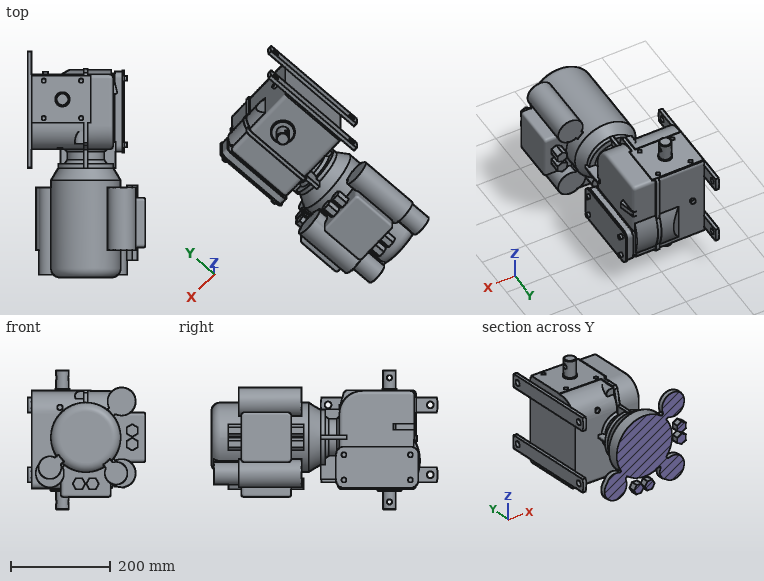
import cadquery as cq
import math


ROOT_DEPTH = 15

SHAFT_DIAMETER = 26
SHAFT_LENGTH = 280
SHAFT_CHAMFER = 1.5
CROSS_HOLE_DIAMETER = 10
CROSS_HOLE_HEIGHT = 124.5
COLLAR_DIAMETER = 29
COLLAR_TOP = 102

HOUSING_LEFT = -62
HOUSING_RIGHT = 101.5
HOUSING_BACK = 50
HOUSING_FRONT = -100.3
HOUSING_TOP = 98
HOUSING_BOTTOM = -98
FRONT_CURVE_RADIUS = 45.5
HOUSING_EDGE_RADIUS = 8
HOUSING_FRONT_FOOT_RADIUS = 11
HOUSING_END_RADIUS = 7

PAD_HALF_WIDTH = 47
PAD_RIGHT = 56.5
PAD_TOP = 99.5
PAD_HOLE_SPACING = 75
PAD_HOLE_DIAMETER = 9
PAD_HOLE_DEPTH = 15
PAD_HOLE_TIP_DEPTH = 3

BOSS_DIAMETER = 49
BOSS_BOTTOM = -103
BOSS_CHAMFER = 2

RIB_LEFT = 42.5
RIB_RIGHT = 50.5
RIB_OVERHANG = 3.5
RIB_BOTTOM = -99.5
RIB_EDGE_RADIUS = 9
RIB_CORNER_FRONT = -92
RIB_CORNER_DROP = 5
RIB_FOOT_HEIGHT = 50
LUG_WIDTH = 18
LUG_CENTER_X = 34
LUG_CENTER_Z = 88
LUG_FRONT = -89.5
LUG_LENGTH = 30

BULGE_TIP_X = -3
BULGE_LEFT = 14
BULGE_RIGHT = 98
BULGE_BACK = 59.5
BULGE_CENTER_Z = -42
BULGE_HALF_HEIGHT = 42
RIB_ARCH_BACK = 61.5

WEDGE_BACK = 50
WEDGE_FRONT = 8
WEDGE_TIP_X = 110
WEDGE_TIP_Y = 13
WEDGE_BOTTOM = 20
WEDGE_TOP = 32

PLUG_DIAMETER = 11
FRONT_PLUG_X = -5
FRONT_PLUG_Z = 65
BACK_PLUG_X = -34
BACK_PLUG_Z = 3
BACK_PLUG_FACE = 55.5

COVER_BACK = 56
COVER_FRONT = -105.3
COVER_TOP = -16
COVER_BOTTOM = -94.5
COVER_CORNER_RADIUS = 13
COVER_SEAT_RIGHT = 105
COVER_SEAT_INSET = 4
COVER_RIGHT = 119.5
COVER_PLATE_THICKNESS = 4
COVER_PLATE_OVERHANG = 2
COVER_SCREW_DIAMETER = 10
COVER_SCREW_HEIGHT = 6.2
COVER_SCREW_INSET = 14

MOTOR_X = 46.8
MOTOR_Z = 5
MOTOR_RADIUS = 70
MOTOR_END = -357.45
MOTOR_END_RADIUS = 18
FLANGE_RADIUS = 55.5
FLANGE_BACK = -129
FLANGE_FRONT = -138
CONE_FRONT = -162
NECK_RADIUS = 37.5
NECK_FLARE = 5
NECK_FLARE_LENGTH = 7.5

WEB_THICKNESS = 8
WEB_REACH_LEFT = 51
WEB_REACH_RIGHT = 60
WEB_REACH_TOP = 56
WEB_REACH_BOTTOM = 84
WEB_EDGE_RADIUS = 2.5

CAPACITOR_OFFSET = 72
CAPACITOR_RADIUS = 28.3
CAPACITOR_BACK = -176.3
CAPACITOR_FRONT = -302.5
SLIM_CAPACITOR_RADIUS = 22.7
SLIM_CAPACITOR_OFFSET = 60.8
SLIM_CAPACITOR_FRONT = -352
SADDLE_WIDTH = 18

BOX_SIZE = 100.5
BOX_REACH = 119.7
BOX_INNER = 45
BOX_BACK = -197
BOX_EDGE_RADIUS = 7
BOX_RIM_RADIUS = 5
GLAND_ACROSS_FLATS = 22
GLAND_SPACING = 27.2
GLAND_REACH = 93.2
GLAND_BACK = -172
GLAND_LENGTH = 151

BAR_THICKNESS = 8
BAR_HEIGHT = 30.5
BAR_LENGTH = 235
BAR_BACK = 96.85
BAR_END_BULGE = 1.8
BAR_HOLE_INSET = 15
BAR_HOLE_DIAMETER = 13
BAR_CENTER_Z = 70


def cylinder_x(radius, left, right, y, z):
    """Cylinder along X between two faces."""
    return cq.Workplane("YZ", origin=(left, y, z)).circle(radius).extrude(right - left)


def cylinder_y(radius, front, back, x, z):
    """Cylinder along Y between two faces."""
    return cq.Workplane("XZ", origin=(x, back, z)).circle(radius).extrude(back - front)


def cylinder_z(diameter, bottom, top):
    """Cylinder on the output shaft axis between two heights."""
    return cq.Workplane("XY", origin=(0, 0, bottom)).circle(diameter / 2).extrude(top - bottom)


def block(left, right, front, back, bottom, top):
    """Box between the given faces."""
    return cq.Workplane("XY").box(right - left, back - front, top - bottom, centered=False).translate(
        (left, front, bottom)
    )


def housing_block():
    """Plain housing, rounded along its upper front edge."""
    curve = FRONT_CURVE_RADIUS
    diagonal = curve * (1 - math.sqrt(0.5))
    return (
        cq.Workplane("YZ", origin=(HOUSING_LEFT, 0, 0))
        .moveTo(HOUSING_BACK, HOUSING_BOTTOM)
        .lineTo(HOUSING_BACK, HOUSING_TOP)
        .lineTo(HOUSING_FRONT + curve, HOUSING_TOP)
        .threePointArc(
            (HOUSING_FRONT + diagonal, HOUSING_TOP - diagonal), (HOUSING_FRONT, HOUSING_TOP - curve)
        )
        .lineTo(HOUSING_FRONT, HOUSING_BOTTOM)
        .close()
        .extrude(HOUSING_RIGHT - HOUSING_LEFT)
        .edges("|X and >Y")
        .fillet(HOUSING_EDGE_RADIUS)
        .edges("|X and <Y and <Z")
        .fillet(HOUSING_FRONT_FOOT_RADIUS)
        .faces(">X")
        .edges()
        .fillet(HOUSING_END_RADIUS)
    )


def make_housing():
    """Gear housing with its pad, lower boss and screw plugs."""
    body = housing_block()
    pad = block(
        HOUSING_LEFT, PAD_RIGHT, -PAD_HALF_WIDTH, PAD_HALF_WIDTH, HOUSING_TOP - ROOT_DEPTH, PAD_TOP
    )
    boss = cylinder_z(BOSS_DIAMETER, BOSS_BOTTOM, HOUSING_BOTTOM + ROOT_DEPTH)
    boss = boss.faces("<Z").chamfer(BOSS_CHAMFER)
    front_plug = cylinder_y(
        PLUG_DIAMETER / 2, HOUSING_FRONT, HOUSING_FRONT + ROOT_DEPTH, FRONT_PLUG_X, FRONT_PLUG_Z
    )
    back_plug = cylinder_y(
        PLUG_DIAMETER / 2, BACK_PLUG_FACE - ROOT_DEPTH, BACK_PLUG_FACE, BACK_PLUG_X, BACK_PLUG_Z
    )
    return body.union(pad).union(boss).union(front_plug).union(back_plug)


def make_parting_rib():
    """Rib around the housing joint, with a bolt lug at its upper front corner."""
    front = HOUSING_FRONT - RIB_OVERHANG
    rib = (
        cq.Workplane("YZ", origin=(RIB_LEFT, 0, 0))
        .moveTo(HOUSING_BACK + RIB_OVERHANG, RIB_BOTTOM)
        .lineTo(HOUSING_BACK + RIB_OVERHANG, PAD_TOP)
        .lineTo(RIB_CORNER_FRONT + RIB_CORNER_DROP, PAD_TOP)
        .lineTo(RIB_CORNER_FRONT, PAD_TOP - RIB_CORNER_DROP)
        .lineTo(front, RIB_FOOT_HEIGHT)
        .lineTo(front, RIB_BOTTOM)
        .close()
        .extrude(RIB_RIGHT - RIB_LEFT)
        .edges("(|X and <Z) or (|X and >Y and >Z)")
        .fillet(RIB_EDGE_RADIUS)
    )
    half = LUG_WIDTH / 2
    back = LUG_FRONT + LUG_LENGTH
    lug = cylinder_y(half, LUG_FRONT, back, LUG_CENTER_X, LUG_CENTER_Z)
    lug_root = block(LUG_CENTER_X, RIB_LEFT, LUG_FRONT, back, LUG_CENTER_Z - half, LUG_CENTER_Z + half)
    return rib.union(lug).union(lug_root)


def back_arch(left, right, peak):
    """Arched slab on the housing back, rising to the given Y."""
    return (
        cq.Workplane("YZ", origin=(left, 0, BULGE_CENTER_Z))
        .moveTo(0, -BULGE_HALF_HEIGHT)
        .lineTo(HOUSING_BACK, -BULGE_HALF_HEIGHT)
        .threePointArc((peak, 0), (HOUSING_BACK, BULGE_HALF_HEIGHT))
        .lineTo(0, BULGE_HALF_HEIGHT)
        .close()
        .extrude(right - left)
    )


def make_bulge():
    """Bulge with a sloped left end, and the arch of the parting rib across it."""
    slope = (
        cq.Workplane("XY", origin=(0, 0, BULGE_CENTER_Z - BULGE_HALF_HEIGHT))
        .polyline([(BULGE_TIP_X, HOUSING_BACK), (BULGE_LEFT, BULGE_BACK), (BULGE_TIP_X, BULGE_BACK)])
        .close()
        .extrude(2 * BULGE_HALF_HEIGHT)
    )
    bulge = back_arch(BULGE_TIP_X, BULGE_RIGHT, BULGE_BACK).cut(slope)
    return bulge.union(back_arch(RIB_LEFT, RIB_RIGHT, RIB_ARCH_BACK))


def make_wedge():
    """Wedge on the right end of the housing, thickening toward the front."""
    root = HOUSING_RIGHT - HOUSING_END_RADIUS
    return (
        cq.Workplane("XY", origin=(0, 0, WEDGE_BOTTOM))
        .polyline(
            [
                (root, WEDGE_BACK),
                (HOUSING_RIGHT, WEDGE_BACK),
                (WEDGE_TIP_X, WEDGE_TIP_Y),
                (HOUSING_RIGHT, WEDGE_FRONT),
                (root, WEDGE_FRONT),
            ]
        )
        .close()
        .extrude(WEDGE_TOP - WEDGE_BOTTOM)
    )


def cover_slice(left, right, growth=0):
    """Round-cornered slice of the end cover, grown all round."""
    slab = block(
        left,
        right,
        COVER_FRONT - growth,
        COVER_BACK + growth,
        COVER_BOTTOM - growth,
        COVER_TOP + growth,
    )
    return slab.edges("|X").fillet(COVER_CORNER_RADIUS + growth)


def make_cover():
    """End cover on its seat, with a rim plate and four screw heads."""
    plate_right = COVER_RIGHT + COVER_PLATE_THICKNESS
    cover = cover_slice(HOUSING_RIGHT - HOUSING_END_RADIUS, COVER_SEAT_RIGHT, -COVER_SEAT_INSET)
    cover = cover.union(cover_slice(COVER_SEAT_RIGHT, COVER_RIGHT))
    cover = cover.union(cover_slice(COVER_RIGHT, plate_right, COVER_PLATE_OVERHANG))
    screw_radius = COVER_SCREW_DIAMETER / 2
    for y in (COVER_FRONT + COVER_SCREW_INSET, COVER_BACK - COVER_SCREW_INSET):
        for z in (COVER_BOTTOM + COVER_SCREW_INSET, COVER_TOP - COVER_SCREW_INSET):
            cover = cover.union(
                cylinder_x(screw_radius, COVER_RIGHT, plate_right + COVER_SCREW_HEIGHT, y, z)
            )
    return cover


def make_motor():
    """Motor body, cone, flange and flared neck as one turned shape."""
    neck_back = HOUSING_FRONT
    neck_root = HOUSING_FRONT + ROOT_DEPTH
    end_center = (MOTOR_RADIUS - MOTOR_END_RADIUS, MOTOR_END + MOTOR_END_RADIUS)
    bend = MOTOR_END_RADIUS * math.sqrt(0.5)
    flare = NECK_RADIUS + NECK_FLARE
    profile = (
        cq.Workplane("XY")
        .moveTo(0, neck_root)
        .lineTo(flare, neck_root)
        .lineTo(flare, neck_back)
        .lineTo(NECK_RADIUS, neck_back - NECK_FLARE)
        .lineTo(NECK_RADIUS, FLANGE_BACK + NECK_FLARE_LENGTH)
        .lineTo(flare, FLANGE_BACK)
        .lineTo(FLANGE_RADIUS, FLANGE_BACK)
        .lineTo(FLANGE_RADIUS, FLANGE_FRONT)
        .lineTo(MOTOR_RADIUS, CONE_FRONT)
        .lineTo(MOTOR_RADIUS, MOTOR_END + MOTOR_END_RADIUS)
        .threePointArc((end_center[0] + bend, end_center[1] - bend), (end_center[0], MOTOR_END))
        .lineTo(0, MOTOR_END)
        .close()
    )
    return profile.revolve(360, (0, 0, 0), (0, 1, 0)).translate((MOTOR_X, 0, MOTOR_Z))


def make_neck_webs():
    """Four flat webs between the housing and the motor flange."""
    half = WEB_THICKNESS / 2
    span = (FLANGE_FRONT, HOUSING_FRONT + ROOT_DEPTH)
    flat = block(-WEB_REACH_LEFT, WEB_REACH_RIGHT, *span, -half, half).edges("|Y").fillet(WEB_EDGE_RADIUS)
    upright = block(-half, half, *span, -WEB_REACH_BOTTOM, WEB_REACH_TOP)
    return flat.union(upright).translate((MOTOR_X, 0, MOTOR_Z))


def make_capacitor(offset_x, offset_z, radius, front):
    """Capacitor parallel to the motor, joined to it by a saddle."""
    can = cylinder_y(radius, front, CAPACITOR_BACK, MOTOR_X + offset_x, MOTOR_Z + offset_z)
    distance = math.hypot(offset_x, offset_z)
    angle = math.degrees(math.atan2(offset_z, offset_x))
    half = SADDLE_WIDTH / 2
    saddle = block(MOTOR_RADIUS - MOTOR_END_RADIUS, distance, front, CAPACITOR_BACK, -half, half)
    saddle = saddle.rotate((0, 0, 0), (0, 1, 0), -angle).translate((MOTOR_X, 0, MOTOR_Z))
    return can.union(saddle)


def make_terminal_box():
    """Terminal box on the +X side of a motor lying on the Y axis, with two hexagonal glands."""
    half = BOX_SIZE / 2
    box = block(BOX_INNER, BOX_REACH, BOX_BACK - BOX_SIZE, BOX_BACK, -half, half)
    box = box.edges("|X").fillet(BOX_EDGE_RADIUS)
    box = box.faces(">X").edges().fillet(BOX_RIM_RADIUS)
    across_corners = GLAND_ACROSS_FLATS / math.cos(math.pi / 6)
    gland = (
        cq.Workplane("XZ", origin=(GLAND_REACH, GLAND_BACK, 0))
        .transformed(rotate=(0, 0, 90))
        .polygon(6, across_corners)
        .extrude(GLAND_LENGTH)
    )
    for side in (-1, 1):
        box = box.union(gland.translate((0, 0, side * GLAND_SPACING / 2)))
    return box


def make_output_shaft():
    """Double-ended output shaft with chamfered ends and collars at the housing."""
    half = SHAFT_LENGTH / 2
    shaft = cylinder_z(SHAFT_DIAMETER, -half, half).faces("|Z").chamfer(SHAFT_CHAMFER)
    return shaft.union(cylinder_z(COLLAR_DIAMETER, -COLLAR_TOP, COLLAR_TOP))


def make_drill(x, y):
    """Space of one blind bolting hole in the pad, with a conical bottom."""
    radius = PAD_HOLE_DIAMETER / 2
    return (
        cq.Workplane("XZ")
        .polyline(
            [
                (0, 0),
                (radius, 0),
                (radius, -PAD_HOLE_DEPTH),
                (0, -PAD_HOLE_DEPTH - PAD_HOLE_TIP_DEPTH),
            ]
        )
        .close()
        .revolve(360, (0, 0, 0), (0, 1, 0))
        .translate((x, y, PAD_TOP))
    )


def make_gearmotor():
    """Gear housing, output shaft, motor and everything fixed to them, as one solid."""
    body = make_housing()
    for feature in (
        make_parting_rib(),
        make_bulge(),
        make_wedge(),
        make_cover(),
        make_motor(),
        make_neck_webs(),
    ):
        body = body.union(feature)
    for side_x, side_z in ((1, 1), (1, -1), (-1, -1)):
        body = body.union(
            make_capacitor(
                side_x * CAPACITOR_OFFSET, side_z * CAPACITOR_OFFSET, CAPACITOR_RADIUS, CAPACITOR_FRONT
            )
        )
    for offset_x, offset_z in (
        (SLIM_CAPACITOR_OFFSET, -CAPACITOR_OFFSET),
        (-CAPACITOR_OFFSET, -SLIM_CAPACITOR_OFFSET),
    ):
        body = body.union(
            make_capacitor(offset_x, offset_z, SLIM_CAPACITOR_RADIUS, SLIM_CAPACITOR_FRONT)
        )
    for turn in (0, 90):
        box = make_terminal_box().rotate((0, 0, 0), (0, 1, 0), turn)
        body = body.union(box.translate((MOTOR_X, 0, MOTOR_Z)))
    body = body.union(make_output_shaft())

    half = PAD_HOLE_SPACING / 2
    for x in (-half, half):
        for y in (-half, half):
            body = body.cut(make_drill(x, y))
    for z in (-CROSS_HOLE_HEIGHT, CROSS_HOLE_HEIGHT):
        body = body.cut(
            cylinder_x(CROSS_HOLE_DIAMETER / 2, -SHAFT_DIAMETER, SHAFT_DIAMETER, 0, z)
        )
    return body


def make_mounting_bar(center_z):
    """Flat bar on the left face of the housing, with slightly arched ends and two holes."""
    half = BAR_HEIGHT / 2
    front = BAR_BACK - BAR_LENGTH
    arch_back = BAR_BACK - BAR_END_BULGE
    arch_front = front + BAR_END_BULGE
    bar = (
        cq.Workplane("YZ", origin=(HOUSING_LEFT - BAR_THICKNESS, 0, center_z))
        .moveTo(arch_front, -half)
        .lineTo(arch_back, -half)
        .threePointArc((BAR_BACK, 0), (arch_back, half))
        .lineTo(arch_front, half)
        .threePointArc((front, 0), (arch_front, -half))
        .close()
        .extrude(BAR_THICKNESS)
    )
    for y in (front + BAR_HOLE_INSET, BAR_BACK - BAR_HOLE_INSET):
        bar = bar.cut(
            cylinder_x(BAR_HOLE_DIAMETER / 2, HOUSING_LEFT - BAR_THICKNESS, HOUSING_LEFT, y, center_z)
        )
    return bar


gearmotor = make_gearmotor()
mounting_bars = [make_mounting_bar(z) for z in (-BAR_CENTER_Z, BAR_CENTER_Z)]

result = cq.Compound.makeCompound([gearmotor.val(), *[bar.val() for bar in mounting_bars]])